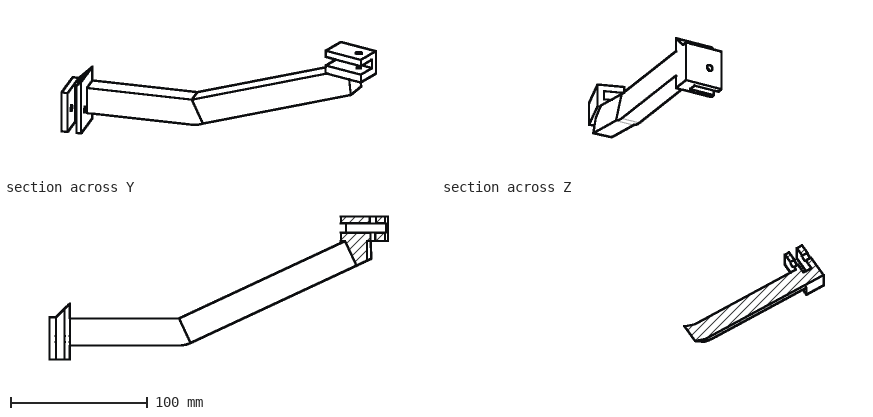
import cadquery as cq
import math

LOWER_WIDTH = 30.0
LOWER_OUTER_PLATE = 4.75
LOWER_SLOT = 6.5
LOWER_INNER_PLATE = 3.75
LOWER_WEB = 10.0
LOWER_PLATE_HEIGHT = 31.0
LOWER_LENGTH = LOWER_OUTER_PLATE + LOWER_SLOT + LOWER_INNER_PLATE
ROOF_RISE = 10.0
LOWER_HEIGHT = LOWER_PLATE_HEIGHT + ROOF_RISE
LOWER_HOLE_DEPTH = 20.0
LOWER_HOLE_HEIGHT = 15.0

ARM_WIDTH = 15.0
ARM_HEIGHT = 20.0
ARM_TOP = 30.2
BEND_X = 95.0
RISE_ANGLE = 25.0
SWING_ANGLE = 21.1
ARM_OVERRUN = 200.0
ARM_END_INSET = 12.6

UPPER_TURN = 18.0
UPPER_LENGTH = 31.0
UPPER_WIDTH = 20.0
UPPER_TOP_PLATE = 5.0
UPPER_SLOT = 6.75
UPPER_BOTTOM_PLATE = 6.25
UPPER_WEB = 5.0
UPPER_HEIGHT = UPPER_TOP_PLATE + UPPER_SLOT + UPPER_BOTTOM_PLATE
UPPER_HOLE_INSET = 8.5

TOTAL_LENGTH = 248.15
TOTAL_WIDTH = 78.81
TOTAL_HEIGHT = 104.8

SCREW_HOLE_DIAMETER = 4.5
THREAD_HOLE_DIAMETER = 3.4

UPPER_BASE = TOTAL_HEIGHT - UPPER_HEIGHT
TURN_COS = math.cos(math.radians(UPPER_TURN))
FAR_CORNER = (TOTAL_LENGTH, UPPER_WIDTH * TURN_COS - TOTAL_WIDTH)


def box(x_range, y_range, z_range):
    """Box between the given limits."""
    (x0, x1), (y0, y1), (z0, z1) = x_range, y_range, z_range
    return cq.Workplane("XY").box(x1 - x0, y1 - y0, z1 - z0, centered=False).translate((x0, y0, z0))


def place_upper(shape):
    """Move a shape from the clamp frame (far +Y corner, underside) to its place."""
    turned = shape.rotate((0, 0, 0), (0, 0, 1), -UPPER_TURN)
    return turned.translate((FAR_CORNER[0], FAR_CORNER[1], UPPER_BASE))


def lower_clamp():
    outline = [
        (0, 0),
        (LOWER_LENGTH, 0),
        (LOWER_LENGTH, LOWER_HEIGHT),
        (LOWER_OUTER_PLATE, LOWER_PLATE_HEIGHT),
        (0, LOWER_PLATE_HEIGHT),
    ]
    body = cq.Workplane("XZ").polyline(outline).close().extrude(LOWER_WIDTH)
    slot_end = LOWER_OUTER_PLATE + LOWER_SLOT
    slot = box((LOWER_OUTER_PLATE, slot_end), (-LOWER_WIDTH, -LOWER_WEB), (0, LOWER_HEIGHT))
    hole_plane = cq.Workplane("YZ").center(-LOWER_HOLE_DEPTH, LOWER_HOLE_HEIGHT)
    hole = hole_plane.circle(SCREW_HOLE_DIAMETER / 2).extrude(LOWER_LENGTH)
    return body.cut(slot).cut(hole)


def level_bar():
    """Level bar, ending in a round sector about the bend edge."""
    rise = math.radians(RISE_ANGLE)

    def sector_point(angle):
        return BEND_X + ARM_HEIGHT * math.sin(angle), ARM_TOP - ARM_HEIGHT * math.cos(angle)

    profile = (
        cq.Workplane("XZ")
        .moveTo(LOWER_LENGTH, ARM_TOP)
        .lineTo(LOWER_LENGTH, ARM_TOP - ARM_HEIGHT)
        .lineTo(*sector_point(0))
        .threePointArc(sector_point(rise / 2), sector_point(rise))
        .lineTo(BEND_X, ARM_TOP)
        .close()
    )
    return profile.extrude(ARM_WIDTH)


def rising_bar():
    """Rising bar, trimmed by the underside and an upright end plane of the upper clamp."""
    drift = ARM_OVERRUN * math.tan(math.radians(SWING_ANGLE))
    plan = [
        (0, 0),
        (ARM_OVERRUN, -drift),
        (ARM_OVERRUN, -drift - ARM_WIDTH),
        (0, -ARM_WIDTH),
    ]
    bar = cq.Workplane("XY").polyline(plan).close().extrude(-ARM_HEIGHT)
    bar = bar.rotate((0, 0, 0), (0, 1, 0), -RISE_ANGLE).translate((BEND_X, 0, ARM_TOP))
    keep = box(
        (-2 * ARM_OVERRUN, -ARM_END_INSET),
        (-ARM_OVERRUN, ARM_OVERRUN),
        (-UPPER_BASE, 0),
    )
    return bar.intersect(place_upper(keep))


def upper_clamp():
    body = box((-UPPER_LENGTH, 0), (-UPPER_WIDTH, 0), (0, UPPER_HEIGHT))
    slot_top = UPPER_BOTTOM_PLATE + UPPER_SLOT
    slot = box((-UPPER_LENGTH, 0), (-UPPER_WIDTH, -UPPER_WEB), (UPPER_BOTTOM_PLATE, slot_top))
    hole_axis = cq.Workplane("XY").center(-UPPER_HOLE_INSET, -UPPER_WIDTH / 2)
    thread_hole = hole_axis.circle(THREAD_HOLE_DIAMETER / 2).extrude(UPPER_BOTTOM_PLATE)
    screw_hole = hole_axis.workplane(offset=slot_top).circle(SCREW_HOLE_DIAMETER / 2).extrude(UPPER_TOP_PLATE)
    return place_upper(body.cut(slot).cut(thread_hole).cut(screw_hole))


result = lower_clamp().union(level_bar()).union(rising_bar()).union(upper_clamp())